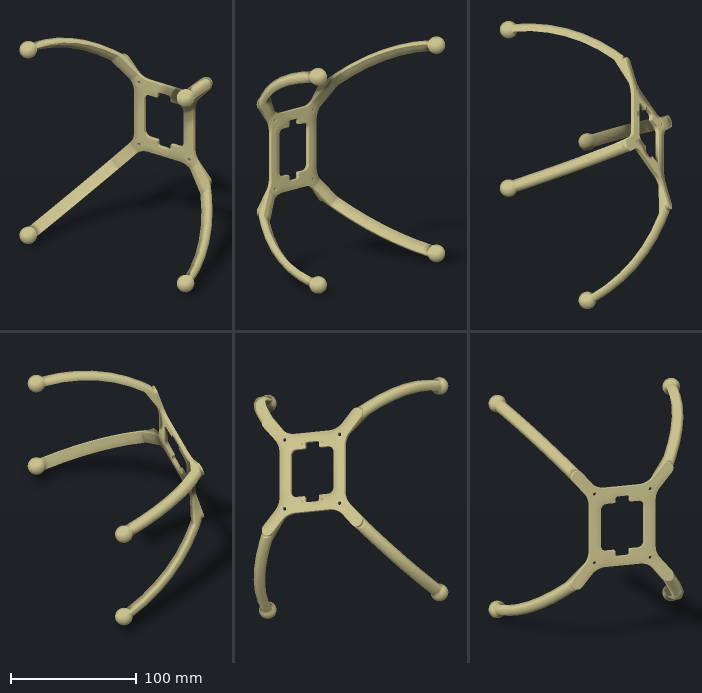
import cadquery as cq
import math

overall_width = 161.2
overall_depth = 96.0
overall_height = 183.8

plate_width = 55.9
plate_height = 64.9
plate_thickness = 3.0
plate_corner_radius = 15.0

ball_radius = 7.0
ball_x = overall_width / 2 - ball_radius
ball_z = overall_height / 2 - ball_radius
ball_depth = overall_depth - ball_radius
ankle_fillet = 1.8

leg_angle = math.atan2(ball_z, ball_x)
arm_angles = [leg_angle, math.pi - leg_angle, math.pi + leg_angle, -leg_angle]
ball_reach = math.hypot(ball_x, ball_z)
arm_reach = 58.0
leg_width = 10.0
half_leg = leg_width / 2

leg_flank = 1.0
leg_inner_radius = 130.0
leg_axis_reach = -17.8
leg_axis_depth = 110.5

gusset_start = 42.5
gusset_end = 64.0
gusset_toe_fillet = 5.0
gusset_bend_fillet = 3.0

window_width = 36.8
window_height = 39.1
window_corner_radius = 5.0
notch_width = 12.1
notch_top = 24.8
notch_corner_radius = 2.0
notch_mouth_radius = 1.0

screw_diameter = 3.0
screw_x = 23.5
screw_z = 28.3
pin_diameter = 1.0
pin_x = 8.6
pin_z = 23.5

pick_margin = 0.4


def inner_face_depth(reach):
    """Depth of the leg's inner arc at a given reach."""
    return leg_axis_depth - math.sqrt(leg_inner_radius**2 - (reach - leg_axis_reach) ** 2)


def front_plane(angle=0):
    """Workplane facing -Y with its local X axis turned by angle from +X towards +Z."""
    return cq.Workplane("XZ").transformed(rotate=(0, 0, math.degrees(angle)))


def plate_cutter(points, diameter):
    return front_plane().pushPoints(points).circle(diameter / 2).extrude(plate_thickness)


def four_corners(x, z):
    return [(side * x, level * z) for side in (-1, 1) for level in (-1, 1)]


def near(x, y, z):
    """Selects edges whose centre lies close to a point."""
    return cq.selectors.BoxSelector(
        (x - pick_margin, y - pick_margin, z - pick_margin),
        (x + pick_margin, y + pick_margin, z + pick_margin),
    )


def make_plate():
    """Rectangle with four round-ended arms, blended where they leave its sides."""
    plate = front_plane().rect(plate_width, plate_height).extrude(plate_thickness)
    for angle in arm_angles:
        arm = front_plane(angle).center(arm_reach / 2, 0).rect(arm_reach, leg_width)
        tip = front_plane(angle).center(arm_reach, 0).circle(half_leg)
        plate = plate.union(arm.extrude(plate_thickness)).union(tip.extrude(plate_thickness))

    half_width = plate_width / 2
    half_height = plate_height / 2
    side_z = (half_width * math.sin(leg_angle) - half_leg) / math.cos(leg_angle)
    top_x = (half_height * math.cos(leg_angle) - half_leg) / math.sin(leg_angle)
    for x, z in four_corners(half_width, side_z) + four_corners(top_x, half_height):
        plate = plate.edges(near(x, -plate_thickness / 2, z)).fillet(plate_corner_radius)
    return plate


def rounded_block(width, height, radius):
    block = front_plane().rect(width, height).extrude(plate_thickness)
    return block.edges("|Y").fillet(radius)


def make_window():
    """Rounded opening with a notch at its top and bottom."""
    window = rounded_block(window_width, window_height, window_corner_radius)
    window = window.union(rounded_block(notch_width, 2 * notch_top, notch_corner_radius))
    for x, z in four_corners(notch_width / 2, window_height / 2):
        window = window.edges(near(x, -plate_thickness / 2, z)).fillet(notch_mouth_radius)
    return window


def make_bar():
    """D section, flat inside and half round outside, revolved about the arc axis."""
    flank_radius = leg_inner_radius + leg_flank
    sweep = math.atan2(ball_reach - leg_axis_reach, leg_axis_depth - ball_depth)
    bar = (
        cq.Workplane("YZ", origin=(leg_axis_reach, -leg_axis_depth, 0))
        .moveTo(leg_inner_radius, -half_leg)
        .lineTo(flank_radius, -half_leg)
        .threePointArc((flank_radius + half_leg, 0), (flank_radius, half_leg))
        .lineTo(leg_inner_radius, half_leg)
        .close()
        .revolve(math.degrees(sweep), (0, 0, 0), (0, -1, 0))
    )
    front_space = (
        cq.Workplane("XZ", origin=(0, -plate_thickness, 0))
        .rect(2 * overall_height, overall_height)
        .extrude(overall_depth)
    )
    return bar.intersect(front_space)


def make_gusset():
    """Wedge between the plate's front face and the leg's inner arc."""
    axis_to_plate = leg_axis_depth - plate_thickness
    heel_reach = leg_axis_reach + math.sqrt(leg_inner_radius**2 - axis_to_plate**2)
    middle_reach = (heel_reach + gusset_end) / 2
    return (
        cq.Workplane("XY", origin=(0, 0, -half_leg))
        .moveTo(gusset_start, -plate_thickness)
        .lineTo(gusset_end, -inner_face_depth(gusset_end))
        .threePointArc(
            (middle_reach, -inner_face_depth(middle_reach)),
            (heel_reach, -plate_thickness),
        )
        .close()
        .extrude(leg_width)
    )


def make_leg():
    """One leg along +X, with its gusset and ball."""
    leg = make_bar().union(make_gusset())
    bend = near(gusset_end, -inner_face_depth(gusset_end), 0)
    leg = leg.edges(bend).fillet(gusset_bend_fillet)

    ball = cq.Workplane("XY").sphere(ball_radius).translate((ball_reach, -ball_depth, 0))
    bound = ball_radius + pick_margin
    joint = cq.selectors.BoxSelector(
        (ball_reach - bound, -ball_depth, -bound),
        (ball_reach + bound, -ball_depth + bound, bound),
        boundingbox=True,
    )
    return leg.union(ball).edges(joint).fillet(ankle_fillet)


result = make_plate()
leg = make_leg()
for angle in arm_angles:
    result = result.union(leg.rotate((0, 0, 0), (0, -1, 0), math.degrees(angle)))
    toe = near(gusset_start * math.cos(angle), -plate_thickness, gusset_start * math.sin(angle))
    result = result.edges(toe).fillet(gusset_toe_fillet)

result = result.cut(make_window())
result = result.cut(plate_cutter(four_corners(screw_x, screw_z), screw_diameter))
result = result.cut(plate_cutter(four_corners(pin_x, pin_z), pin_diameter))